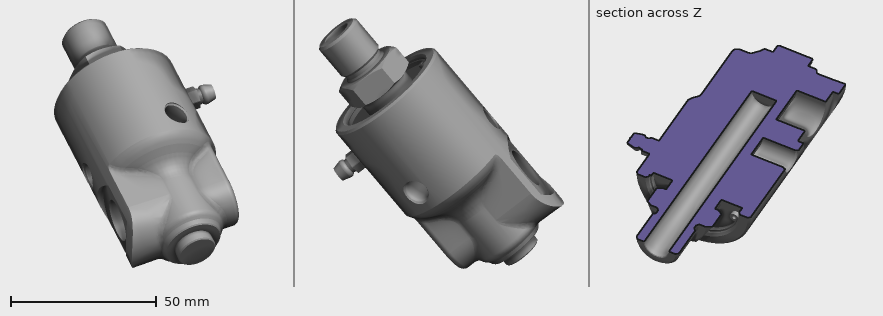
import cadquery as cq
import math

thread_end = 12.8
neck_end = 15.1
hex_start = 15.9
hex_end = 25.0
body_start = 26.4
body_end = 64.9
port_x = 78.6
lobe_center_x = 83.75
core_end = 93.3
boss_end = 98.0
total_length = 101.64

thread_diameter = 16.66
neck_diameter = 14.95
hex_shoulder_diameter = 16.2
collar_diameter = 19.15
shaft_bore_diameter = 9.5
shaft_chamfer = 0.9
bore_chamfer = 0.25
hex_width = 22.0
hex_face_diameter = 21.4
hex_chamfer_angle = 30.0

body_diameter = 44.5
body_radius = body_diameter / 2
body_chamfer = 0.8
stock_radius = body_radius + 3.0
core_radius = 12.8
shoulder_start_angle = 26.0
cone_angle = 55.0
cone_run = 1.8
core_start_x = 77.7
core_fillet = 8.9
core_round_x = 95.4
core_round_radius = 11.95
boss_shoulder_radius = 11.15
boss_radius = 10.4
boss_chamfer = 0.4
plug_chamfer = 0.4
plug_radius = 6.9

recess_mouth_diameter = 36.7
recess_diameter = 35.05
recess_chamfer_depth = 0.8
ring_depth = 1.6
ring_thickness = 1.5
ring_inner_diameter = 33.8
recess_depth = ring_depth + ring_thickness
lug_diameter = 3.5
lug_hole_diameter = 1.32
lug_y = -15.3
lug_z = 4.6

port_diameter = 14.95
port_seat_diameter = 25.5
port_seat_y = -20.0
port_lobe_half_width = 13.05
port_lobe_draft = 1.15
back_lobe_half_width = 10.0
back_lobe_y = 19.45
back_lobe_edge_fillet = 2.1
lobe_root_fillet = 2.5
lobe_overlap = 5.0
contact_tolerance = 1e-4
side_hole_diameter = 8.6
side_hole_mouth_diameter = 9.5
side_hole_x = 57.15
side_hole_count = 3
inner_core_radius = 8.8

nipple_x = 40.1
nipple_tip_y = 31.66
nipple_hex_width = 7.0
nipple_hex_y = 25.4
nipple_hex_chamfer_diameter = 7.9
nipple_root_y = 20.0
nipple_neck_diameter = 5.36
nipple_neck_flare = 0.3
nipple_neck_end_y = 26.8
nipple_bead_diameter = 6.9
nipple_bead_y = 28.4
nipple_bead_sag = 0.3
nipple_tip_diameter = 5.36
nipple_ball_diameter = 1.32
nipple_ball_rise = 0.25
nipple_face_y = nipple_tip_y - nipple_ball_rise


def revolve_x(points):
    """Solid of revolution about X from (x, radius) points, closed on the axis."""
    closed = [(points[0][0], 0)] + points + [(points[-1][0], 0)]
    return cq.Workplane("XY").polyline(closed).close().revolve(360, (0, 0, 0), (1, 0, 0))


def cylinder_x(start, end, radius):
    return revolve_x([(start, radius), (end, radius)])


def cylinder_y(x, start, end, radius):
    return cq.Workplane("XZ", origin=(x, start, 0)).circle(radius).extrude(start - end)


def hex_corner_diameter(width_across_flats):
    return width_across_flats / math.cos(math.pi / 6)


def make_shaft():
    thread_radius = thread_diameter / 2
    shaft = revolve_x([
        (0, thread_radius - shaft_chamfer),
        (shaft_chamfer, thread_radius),
        (thread_end, thread_radius),
        (thread_end + (thread_diameter - neck_diameter) / 2, neck_diameter / 2),
        (neck_end, neck_diameter / 2),
        (neck_end + (hex_shoulder_diameter - neck_diameter) / 2, hex_shoulder_diameter / 2),
        (hex_start, hex_shoulder_diameter / 2),
        (hex_start, collar_diameter / 2),
        (body_start + recess_depth, collar_diameter / 2),
    ])
    corner_diameter = hex_corner_diameter(hex_width)
    chamfer_rise = (corner_diameter - hex_face_diameter) / 2
    chamfer_length = chamfer_rise * math.tan(math.radians(hex_chamfer_angle))
    hexagon = (
        cq.Workplane("YZ", origin=(hex_start, 0, 0))
        .polygon(6, corner_diameter)
        .extrude(hex_end - hex_start)
    )
    hex_envelope = revolve_x([
        (hex_start, hex_face_diameter / 2),
        (hex_start + chamfer_length, corner_diameter / 2),
        (hex_end - chamfer_length, corner_diameter / 2),
        (hex_end, hex_face_diameter / 2),
    ])
    return shaft.union(hexagon.intersect(hex_envelope))


def make_casting_core():
    """Oversize drum, the curved shoulder down to the slim core, and the end boss."""
    steep = math.radians(cone_angle)
    shallow = math.radians(shoulder_start_angle)
    neck_rise = core_fillet * (1 - math.cos(steep))
    neck_run = core_fillet * math.sin(steep)
    cone_end = (core_start_x - neck_run, core_radius + neck_rise)
    cone_start = (cone_end[0] - cone_run, cone_end[1] + cone_run * math.tan(steep))
    neck_mid = (
        core_start_x - core_fillet * math.sin(steep / 2),
        core_radius + core_fillet * (1 - math.cos(steep / 2)),
    )
    shoulder_start = (body_end, body_radius)
    overhang = stock_radius - body_radius
    stock_corner = (body_end - overhang / math.tan(shallow), stock_radius)
    shoulder_x = core_round_x + core_round_radius - boss_shoulder_radius
    return (
        cq.Workplane("XY")
        .moveTo(body_start, 0)
        .lineTo(body_start, stock_radius)
        .lineTo(*stock_corner)
        .lineTo(*shoulder_start)
        .tangentArcPoint(cone_start, relative=False)
        .lineTo(*cone_end)
        .threePointArc(neck_mid, (core_start_x, core_radius))
        .lineTo(core_end, core_radius)
        .tangentArcPoint((core_round_x, core_round_radius), relative=False)
        .lineTo(shoulder_x, boss_shoulder_radius)
        .lineTo(boss_end - boss_chamfer, boss_radius)
        .lineTo(boss_end, boss_radius - boss_chamfer)
        .lineTo(boss_end, 0)
        .close()
        .revolve(360, (0, 0, 0), (1, 0, 0))
    )


def lobe(half_width, start_y, length, draft):
    """Tongue with a round end, extruded towards +Y from start_y."""
    tip_x = lobe_center_x + half_width
    return (
        cq.Workplane("XZ", origin=(0, start_y, 0))
        .moveTo(body_end - lobe_overlap, -half_width)
        .lineTo(lobe_center_x, -half_width)
        .threePointArc((tip_x, 0), (lobe_center_x, half_width))
        .lineTo(body_end - lobe_overlap, half_width)
        .close()
        .extrude(-length, taper=draft)
    )


def join_with_root_fillet(core, tongue):
    """Union of core and tongue with the edges where they meet on the shoulder rounded."""
    joined = core.union(tongue)
    root_edges = []
    for edge in joined.edges().vals():
        middle = edge.positionAt(0.5)
        point = cq.Vertex.makeVertex(*middle.toTuple())
        on_core = core.val().distance(point) < contact_tolerance
        on_tongue = tongue.val().distance(point) < contact_tolerance
        if on_core and on_tongue and body_end - lobe_overlap / 2 < middle.x < core_round_x:
            root_edges.append(edge)
    return joined.newObject(root_edges).fillet(lobe_root_fillet)


def make_body():
    core = make_casting_core()
    back_lobe = lobe(back_lobe_half_width, 0, back_lobe_y, 0)
    back_lobe = back_lobe.faces(">Y").edges().fillet(back_lobe_edge_fillet)
    port_lobe_start = body_radius - 2 * stock_radius
    port_lobe = lobe(port_lobe_half_width, port_lobe_start, -port_lobe_start, port_lobe_draft)
    casting = join_with_root_fillet(core, back_lobe)
    casting = join_with_root_fillet(casting, port_lobe)
    turned_envelope = revolve_x([
        (body_start, body_radius - body_chamfer),
        (body_start + body_chamfer, body_radius),
        (total_length, body_radius),
    ])
    plug = revolve_x([
        (boss_end, plug_radius),
        (total_length - plug_chamfer, plug_radius),
        (total_length, plug_radius - plug_chamfer),
    ])
    return casting.intersect(turned_envelope).union(plug)


def cut_recess(body):
    recess = revolve_x([
        (body_start, recess_mouth_diameter / 2),
        (body_start + recess_chamfer_depth, recess_diameter / 2),
        (body_start + recess_depth, recess_diameter / 2),
    ])
    return body.cut(recess)


def make_retaining_ring():
    """Open snap ring with a drilled lug at each end of its gap."""
    ring_x = body_start + ring_depth
    plane = cq.Workplane("YZ", origin=(ring_x, 0, 0))
    ring = plane.circle(recess_diameter / 2).circle(ring_inner_diameter / 2).extrude(ring_thickness)
    gap_center_y = -recess_diameter / 2
    gap = plane.center(gap_center_y, 0).rect(recess_diameter / 2, 2 * lug_z).extrude(ring_thickness)
    lug_places = [(lug_y, -lug_z), (lug_y, lug_z)]
    lugs = plane.pushPoints(lug_places).circle(lug_diameter / 2).extrude(ring_thickness)
    lug_holes = plane.pushPoints(lug_places).circle(lug_hole_diameter / 2).extrude(ring_thickness)
    return ring.cut(gap).union(lugs).cut(lug_holes)


def cut_port(body):
    """Flat-bottomed seat and port bore on the -Y side, down to the shaft."""
    seat = cylinder_y(port_x, port_seat_y, -body_radius, port_seat_diameter / 2)
    bore = cylinder_y(port_x, 0, -body_radius, port_diameter / 2)
    return body.cut(seat).cut(bore.cut(cylinder_x(0, total_length, inner_core_radius)))


def cut_side_holes(body):
    """Radial holes around the body, the first one on the -Y side, down to the shaft."""
    shaft_core = cylinder_x(0, total_length, inner_core_radius)
    hole_radius = side_hole_diameter / 2
    mouth_radius = side_hole_mouth_diameter / 2
    mouth_depth = mouth_radius - hole_radius
    mouth_y = -math.sqrt(body_radius**2 - mouth_radius**2)
    drill = (
        cq.Workplane("XY", origin=(side_hole_x, 0, 0))
        .lineTo(hole_radius, 0)
        .lineTo(hole_radius, mouth_y + mouth_depth)
        .lineTo(mouth_radius, mouth_y)
        .lineTo(mouth_radius, -body_radius)
        .lineTo(0, -body_radius)
        .close()
        .revolve(360, (0, 0, 0), (0, 1, 0))
        .cut(shaft_core)
    )
    for index in range(side_hole_count):
        angle = index * 360 / side_hole_count
        body = body.cut(drill.rotate((0, 0, 0), (1, 0, 0), angle))
    return body


def make_grease_nipple():
    corner_diameter = hex_corner_diameter(nipple_hex_width)
    hexagon = (
        cq.Workplane("XZ", origin=(nipple_x, nipple_root_y, 0))
        .transformed(rotate=(0, 0, 90))
        .polygon(6, corner_diameter)
        .extrude(nipple_root_y - nipple_hex_y)
    )
    hexagon = hexagon.intersect(
        cylinder_y(nipple_x, nipple_root_y, nipple_hex_y, nipple_hex_chamfer_diameter / 2)
    )
    neck_radius = nipple_neck_diameter / 2
    bead_radius = nipple_bead_diameter / 2
    bead_middle_y = (nipple_neck_end_y + nipple_bead_y) / 2
    bead_bulge = ((neck_radius + bead_radius) / 2 + nipple_bead_sag, bead_middle_y)
    head = (
        cq.Workplane("XY", origin=(nipple_x, 0, 0))
        .moveTo(0, nipple_root_y)
        .lineTo(neck_radius + nipple_neck_flare, nipple_root_y)
        .lineTo(neck_radius + nipple_neck_flare, nipple_hex_y)
        .lineTo(neck_radius, nipple_neck_end_y)
        .threePointArc(bead_bulge, (bead_radius, nipple_bead_y))
        .lineTo(nipple_tip_diameter / 2, nipple_face_y)
        .lineTo(0, nipple_face_y)
        .close()
        .revolve(360, (0, 0, 0), (0, 1, 0))
    )
    ball_radius = nipple_ball_diameter / 2
    ball = cq.Workplane("XY", origin=(nipple_x, nipple_tip_y - ball_radius, 0)).sphere(ball_radius)
    return hexagon.union(head).union(ball)


def cut_shaft_bore(part):
    bore_radius = shaft_bore_diameter / 2
    bore = revolve_x([
        (0, bore_radius + bore_chamfer),
        (bore_chamfer, bore_radius),
        (port_x, bore_radius),
    ])
    return part.cut(bore)


rotary_union = cut_side_holes(cut_port(cut_recess(make_body())))
for component in (make_shaft(), make_retaining_ring(), make_grease_nipple()):
    rotary_union = rotary_union.union(component)
result = cut_shaft_bore(rotary_union)